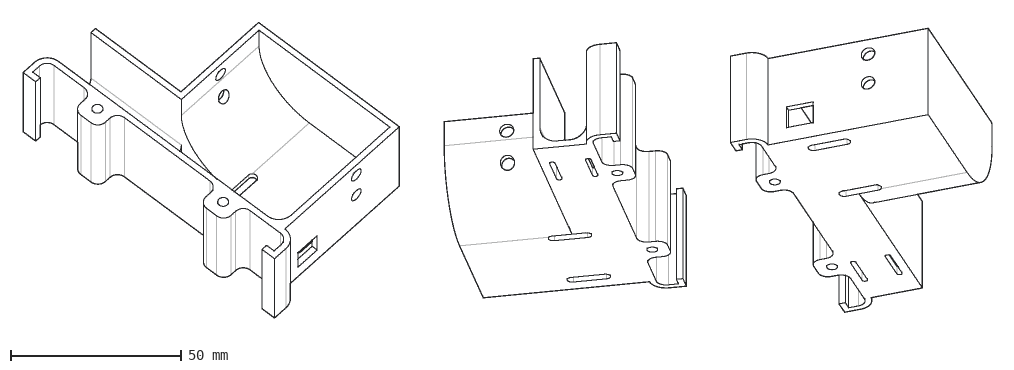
import cadquery as cq

length = 100.0
depth = 60.0
height = 30.0
wall = 2.0

plate_back = 10.0
plate_front = plate_back - wall
hook_radius = 5.0
hook_lip = 5.0
lug_spacing = 50.0
lug_width = 10.0
lug_radius = 3.0
screw_diameter = 3.2

channel_left = -length / 2 + hook_lip
channel_right = -channel_left
channel_width = 14.1
channel_fillet = 5.0
channel_back = plate_back + channel_width

box_left = -11.0
box_inner_left = box_left + wall
box_inner_right = channel_right - wall
box_inner_back = depth - wall
curve_inner_radius = 20.0
curve_outer_radius = curve_inner_radius + wall

side_hole_diameter = 4.2
side_hole_y = 41.2
side_hole_heights = (15.0, 25.0)
floor_slot_length = 13.0
floor_slot_width = 3.0
floor_slot_y = 27.0
floor_slot_xs = (12.0, 39.0)
tie_slot_length = 11.6
tie_slot_width = 1.6
tie_slot_x = -30.0
tie_slot_spacing = 10.8
window_front = 15.7
window_back = channel_back
window_bottom = 4.8
window_top = 12.0


def block(x_min, x_max, y_min, y_max, z_min, z_max):
    """Axis-aligned block given by its limits."""
    size = (x_max - x_min, y_max - y_min, z_max - z_min)
    return cq.Workplane("XY").box(*size, centered=False).translate((x_min, y_min, z_min))


def make_clip():
    """Plate with inward hooks at both ends and rounded lugs with vertical screw holes."""
    half = length / 2
    clip = block(-half, half, 0, plate_back, 0, height)
    clip = clip.edges("|Z and >Y").fillet(hook_radius)
    inside = block(-half + wall, half - wall, wall, plate_front, 0, height)
    inside = inside.edges("|Z and >Y").fillet(hook_radius - wall)
    mouth = block(-half + hook_lip, half - hook_lip, 0, wall, 0, height)
    clip = clip.cut(inside).cut(mouth)

    for lug_x in (-lug_spacing / 2, lug_spacing / 2):
        left = lug_x - lug_width / 2
        right = lug_x + lug_width / 2
        root_y = plate_front - lug_radius
        lug = (
            cq.Workplane("XY")
            .moveTo(left - lug_radius, plate_back)
            .lineTo(left - lug_radius, plate_front)
            .radiusArc((left, root_y), lug_radius)
            .lineTo(left, lug_radius)
            .radiusArc((left + lug_radius, 0), -lug_radius)
            .lineTo(right - lug_radius, 0)
            .radiusArc((right, lug_radius), -lug_radius)
            .lineTo(right, root_y)
            .radiusArc((right + lug_radius, plate_front), lug_radius)
            .lineTo(right + lug_radius, plate_back)
            .close()
            .extrude(height)
        )
        hole = (
            cq.Workplane("XY")
            .center(lug_x, plate_front - lug_radius)
            .circle(screw_diameter / 2)
            .extrude(height)
        )
        clip = clip.union(lug).cut(hole)
    return clip


def make_channel_cavity():
    """Trough with rounded bottom edges; its right front corner is rounded upright too."""
    trough = block(channel_left, box_inner_right, plate_back, channel_back, wall, height)
    trough = trough.edges("|X and <Z").fillet(channel_fillet)
    square_back = block(
        box_inner_left, box_inner_right,
        plate_back + channel_fillet, channel_back,
        wall, height,
    )
    outline = block(channel_left, box_inner_right, plate_back, channel_back, wall, height)
    outline = outline.edges("|Z and >X and <Y").fillet(channel_fillet)
    return trough.union(square_back).intersect(outline)


def make_tray():
    """Channel and box walls, with the lower left edge of the box rounded inside and out."""
    outer_box = block(box_left, channel_right, channel_back, depth, 0, height)
    outer_box = outer_box.edges("|Y and <X and <Z").fillet(curve_outer_radius)
    inner_box = block(
        box_inner_left, box_inner_right, channel_back, box_inner_back, wall, height
    )
    inner_box = inner_box.edges("|Y and <X and <Z").fillet(curve_inner_radius)
    channel = block(
        channel_left, channel_right, plate_back, channel_back + wall, 0, height
    )
    return outer_box.union(channel).cut(inner_box).cut(make_channel_cavity())


def make_side_holes():
    """Two screw holes, one above the other, through both side walls of the box."""
    points = [(side_hole_y, z) for z in side_hole_heights]
    return (
        cq.Workplane("YZ", origin=(box_left, 0, 0))
        .pushPoints(points)
        .circle(side_hole_diameter / 2)
        .extrude(channel_right - box_left)
    )


def make_floor_slots():
    """Slots through the floor: two across the box, two along the channel edges."""
    box_slots = (
        cq.Workplane("XY")
        .pushPoints([(x, floor_slot_y) for x in floor_slot_xs])
        .slot2D(floor_slot_length, floor_slot_width, 90)
        .extrude(height)
    )
    channel_middle = plate_back + channel_width / 2
    tie_slots = (
        cq.Workplane("XY")
        .center(tie_slot_x, channel_middle)
        .rarray(1, tie_slot_spacing, 1, 2)
        .slot2D(tie_slot_length, tie_slot_width)
        .extrude(height)
    )
    return box_slots.union(tie_slots)


window = block(
    box_inner_right, channel_right, window_front, window_back, window_bottom, window_top
)

result = (
    make_tray()
    .cut(make_side_holes())
    .cut(make_floor_slots())
    .cut(window)
    .union(make_clip())
)